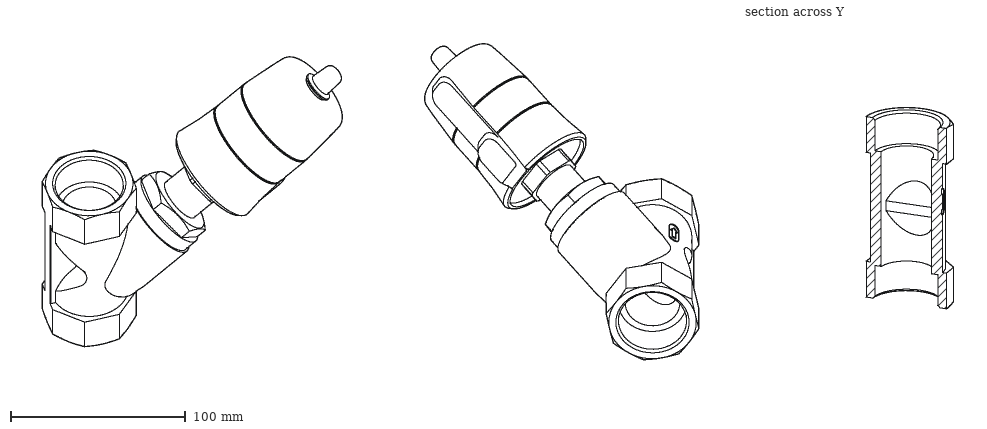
import cadquery as cq
import math


BODY_LENGTH = 110.0
END_FLATS = 50.0
HALF_OCTAGON_STEP = 360 / 16
END_LENGTH = 22.0
PIPE_DIA = 45.0
BORE_DIA = 31.2
THREAD_DIA = 38.95
THREAD_DEPTH = 20.0
THREAD_MOUTH_DIA = 41.9
END_CHAMFER_ANGLE = 30.0

RIB_WIDTH = 11.2
RIB_EDGE_CHAMFER = 0.4
NOTCH_TIP_Y = -7.9
NOTCH_TOP_TANGENT = (-10.8, 6.4)
NOTCH_TOP_MOUTH = (-22.0, 17.4)
NOTCH_BOTTOM_TANGENT = (-11.8, -8.4)
NOTCH_BOTTOM_MIDDLE = (-17.4, -14.4)
NOTCH_BOTTOM_MOUTH = (-22.0, -24.0)
NOTCH_WALL = 3.0

MARK_LENGTH = 15.8
MARK_WIDTH = 6.5
MARK_Z = 9.8
MARK_DEPTH = 0.5
ARROW_LENGTH = 9.8
ARROW_SHAFT_WIDTH = 2.6
ARROW_HEAD_WIDTH = 4.4
ARROW_HEAD_LENGTH = 3.2

TILT = 40.0
AXIS_Z = -21.6

HALF_HEXAGON_STEP = 360 / 12
NUT_CHAMFER_ANGLE = 30.0

BONNET_DIA = 50.5
BONNET_END_DIA = 49.3
BONNET_ROUND = 9.0
BONNET_ROUND_H = 13.9
BONNET_TAPER_H = 20.7
BONNET_TOP_H = 54.4
LIP_DIA = 48.0
LIP_TOP_H = 62.5
BONNET_NUT_FLATS = 41.0
BONNET_NUT_FACE_DIA = 40.4
BONNET_NUT_TOP_H = 70.7

STEM_DIA = 26.0
STEM_NUT_FLATS = 30.0
STEM_NUT_CORNER_DIA = 33.2
STEM_NUT_BOTTOM_H = 88.3

SKIRT_BOTTOM_H = 94.6
SKIRT_EDGE_H = 96.6
SKIRT_DIA = 61.41
SKIRT_BOTTOM_DIA = 58.2
SKIRT_MIDDLE_DIA = 57.8
RECESS_DIA = 54.6
RECESS_DEPTH = 3.0
BAND_DIA = 56.2
BAND_BOTTOM_H = 123.6
BAND_TOP_H = 144.8
GROOVE_WIDTH = 0.8
GROOVE_DEPTH = 0.4
CAP_EDGE_DIA = 50.7
CAP_MIDDLE_DIA = 53.9
CAP_FLAT_DIA = 40.8
CAP_EDGE_H = 172.3
CAP_TOP_H = 176.6

COLLAR_DIA = 18.2
COLLAR_NECK_DIA = 16.0
COLLAR_NECK_H = 178.0
COLLAR_TOP_H = 179.0
TIP_BASE_DIA = 13.2
TIP_BASE_H = 180.2
TIP_SHOULDER_DIA = 12.0
TIP_FLAT_DIA = 6.0
TIP_SHOULDER_H = 190.0
TIP_TOP_H = 193.05

PAD_WIDTH = 16.0
PAD_INNER_REACH = 22.0
PAD_END_ANGLE = 40.0
PAD_END_ROUND = 5.6
PAD_BEVEL_ROUND = 1.5
LONG_PAD_REACH = 29.2
LONG_PAD_TOP_H = 169.0
SHORT_PAD_REACH = 34.2
SHORT_PAD_TOP_H = 124.0

ARC_MIDDLE = math.sqrt(0.5)

CLEARANCE = 1.0


def cylinder(dia, bottom, top):
    return cq.Workplane("XY").workplane(offset=bottom).circle(dia / 2).extrude(top - bottom)


def hexagon(flats, bottom, top):
    corner_dia = flats / math.cos(math.radians(HALF_HEXAGON_STEP))
    return cq.Workplane("XY").workplane(offset=bottom).polygon(6, corner_dia).extrude(top - bottom)


def revolved(profile):
    return profile.close().revolve(360, (0, 0), (0, 1))


def chamfer_tool(face_dia, corner_dia, bottom, top, angle, both_ends=False):
    """Turned solid; intersecting a prism with it bevels the prism's corners at its end faces."""
    outer = corner_dia / 2 + CLEARANCE
    drop = (outer - face_dia / 2) * math.tan(math.radians(angle))
    profile = cq.Workplane("XZ").moveTo(0, bottom)
    if both_ends:
        profile = profile.lineTo(face_dia / 2, bottom).lineTo(outer, bottom + drop)
    else:
        profile = profile.lineTo(outer, bottom)
    return revolved(profile.lineTo(outer, top - drop).lineTo(face_dia / 2, top).lineTo(0, top))


def body_outside():
    half = BODY_LENGTH / 2
    corner_dia = END_FLATS / math.cos(math.radians(HALF_OCTAGON_STEP))
    ends = (
        cq.Workplane("XY").workplane(offset=-half)
        .polygon(8, corner_dia).extrude(BODY_LENGTH)
        .rotate((0, 0, 0), (0, 0, 1), HALF_OCTAGON_STEP)
        .intersect(chamfer_tool(END_FLATS, corner_dia, -half, half, END_CHAMFER_ANGLE, both_ends=True))
        .cut(cylinder(corner_dia, END_LENGTH - half, half - END_LENGTH))
    )
    return ends.union(cylinder(PIPE_DIA, -half + END_LENGTH / 2, half - END_LENGTH / 2))


def notch_prism():
    """V-shaped wedge with a rounded tip, running along X across the front of the body."""
    outside_y = -END_FLATS
    return (
        cq.Workplane("YZ")
        .moveTo(outside_y, NOTCH_TOP_MOUTH[1])
        .lineTo(*NOTCH_TOP_MOUTH)
        .lineTo(*NOTCH_TOP_TANGENT)
        .threePointArc((NOTCH_TIP_Y, 0), NOTCH_BOTTOM_TANGENT)
        .threePointArc(NOTCH_BOTTOM_MIDDLE, NOTCH_BOTTOM_MOUTH)
        .lineTo(outside_y, NOTCH_BOTTOM_MOUTH[1])
        .close()
        .extrude(PIPE_DIA, both=True)
    )


def rib():
    depth = END_FLATS / 2 + NOTCH_TIP_Y
    return (
        cq.Workplane("XY")
        .box(RIB_WIDTH, depth, BODY_LENGTH - 2 * END_LENGTH)
        .translate((0, NOTCH_TIP_Y - depth / 2, 0))
        .faces("<Y").edges("|Z").chamfer(RIB_EDGE_CHAMFER)
    )


def wall_prism():
    """Solid left standing in the flow passage behind the notch, with a flat inner face."""
    inner_y = NOTCH_TIP_Y + NOTCH_WALL

    def slope_start(tangent, mouth):
        """Height where a wall slope, parallel to the line along the notch side, meets the inner face."""
        slope = (mouth[1] - tangent[1]) / (mouth[0] - tangent[0])
        return tangent[1] + slope * (inner_y - NOTCH_WALL - tangent[0])

    return (
        cq.Workplane("YZ")
        .polyline([
            (NOTCH_TOP_MOUTH[0] + NOTCH_WALL, NOTCH_TOP_MOUTH[1]),
            (inner_y, slope_start(NOTCH_TOP_TANGENT, NOTCH_TOP_MOUTH)),
            (inner_y, slope_start(NOTCH_BOTTOM_TANGENT, NOTCH_BOTTOM_MOUTH)),
            (NOTCH_BOTTOM_MOUTH[0] + NOTCH_WALL, NOTCH_BOTTOM_MOUTH[1]),
        ])
        .close()
        .extrude(PIPE_DIA, both=True)
    )


def bore():
    """Flow passage, narrowed at mid-height by the wall that backs the notch."""
    half = BODY_LENGTH / 2
    mouth_drop = (THREAD_MOUTH_DIA - THREAD_DIA) / 2
    passage = cylinder(BORE_DIA, -half, half).cut(wall_prism())
    thread = revolved(
        cq.Workplane("XZ")
        .moveTo(0, half)
        .lineTo(THREAD_MOUTH_DIA / 2, half)
        .lineTo(THREAD_DIA / 2, half - mouth_drop)
        .lineTo(THREAD_DIA / 2, half - THREAD_DEPTH)
        .lineTo(0, half - THREAD_DEPTH)
    )
    return passage.union(thread).union(thread.mirror("XY"))


def flow_mark():
    """Slot-shaped recess holding an arrow that points up the pipe."""
    side = cq.Workplane("YZ").workplane(offset=-PIPE_DIA / 2 - CLEARANCE).center(0, MARK_Z)
    depth = MARK_DEPTH + CLEARANCE
    slot = side.slot2D(MARK_LENGTH, MARK_WIDTH, 90).extrude(2 * depth)
    tip_z = ARROW_LENGTH / 2
    neck_z = tip_z - ARROW_HEAD_LENGTH
    shaft = ARROW_SHAFT_WIDTH / 2
    head = ARROW_HEAD_WIDTH / 2
    arrow = side.polyline([
        (-shaft, -tip_z), (shaft, -tip_z), (shaft, neck_z), (head, neck_z),
        (0, tip_z), (-head, neck_z), (-shaft, neck_z),
    ]).close().extrude(2 * depth)
    return slot.cut(arrow).cut(cylinder(PIPE_DIA - 2 * MARK_DEPTH, -BODY_LENGTH / 2, BODY_LENGTH / 2))


def bonnet():
    round_centre = BONNET_END_DIA / 2 - BONNET_ROUND
    diagonal = BONNET_ROUND * ARC_MIDDLE
    shell = revolved(
        cq.Workplane("XZ")
        .moveTo(0, BONNET_ROUND_H - BONNET_ROUND)
        .lineTo(round_centre, BONNET_ROUND_H - BONNET_ROUND)
        .threePointArc(
            (round_centre + diagonal, BONNET_ROUND_H - diagonal),
            (BONNET_END_DIA / 2, BONNET_ROUND_H),
        )
        .lineTo(BONNET_DIA / 2, BONNET_TAPER_H)
        .lineTo(BONNET_DIA / 2, BONNET_TOP_H)
        .lineTo(LIP_DIA / 2, BONNET_TOP_H)
        .lineTo(LIP_DIA / 2, LIP_TOP_H)
        .lineTo(0, LIP_TOP_H)
    )
    corner_dia = BONNET_NUT_FLATS / math.cos(math.radians(HALF_HEXAGON_STEP))
    nut = hexagon(BONNET_NUT_FLATS, LIP_TOP_H, BONNET_NUT_TOP_H).intersect(
        chamfer_tool(BONNET_NUT_FACE_DIA, corner_dia, LIP_TOP_H, BONNET_NUT_TOP_H, NUT_CHAMFER_ANGLE)
    )
    return shell.union(nut)


def stem():
    top = SKIRT_BOTTOM_H + RECESS_DEPTH
    nut = hexagon(STEM_NUT_FLATS, STEM_NUT_BOTTOM_H, top).intersect(
        cylinder(STEM_NUT_CORNER_DIA, STEM_NUT_BOTTOM_H, top)
    )
    return cylinder(STEM_DIA, LIP_TOP_H, top).union(nut)


def groove(height):
    ring = cylinder(BAND_DIA + 2 * CLEARANCE, height - GROOVE_WIDTH / 2, height + GROOVE_WIDTH / 2)
    return ring.cut(cylinder(BAND_DIA - 2 * GROOVE_DEPTH, height - GROOVE_WIDTH, height + GROOVE_WIDTH))


def housing():
    """Bell-shaped skirt, straight band and domed cap in one turned solid."""
    cap_round_r = (CAP_EDGE_DIA - CAP_FLAT_DIA) / 2
    cap_round_h = CAP_TOP_H - CAP_EDGE_H
    turned = revolved(
        cq.Workplane("XZ")
        .moveTo(0, SKIRT_BOTTOM_H)
        .lineTo(SKIRT_BOTTOM_DIA / 2, SKIRT_BOTTOM_H)
        .lineTo(SKIRT_DIA / 2, SKIRT_EDGE_H)
        .threePointArc(
            (SKIRT_MIDDLE_DIA / 2, (SKIRT_EDGE_H + BAND_BOTTOM_H) / 2),
            (BAND_DIA / 2, BAND_BOTTOM_H),
        )
        .lineTo(BAND_DIA / 2, BAND_TOP_H)
        .threePointArc(
            (CAP_MIDDLE_DIA / 2, (BAND_TOP_H + CAP_EDGE_H) / 2),
            (CAP_EDGE_DIA / 2, CAP_EDGE_H),
        )
        .threePointArc(
            (CAP_FLAT_DIA / 2 + cap_round_r * ARC_MIDDLE, CAP_EDGE_H + cap_round_h * ARC_MIDDLE),
            (CAP_FLAT_DIA / 2, CAP_TOP_H),
        )
        .lineTo(0, CAP_TOP_H)
    )
    return turned.cut(groove(BAND_BOTTOM_H)).cut(groove(BAND_TOP_H))


def pad(reach, top):
    """Flat-sided pad on the underside; its upper end slopes up to the housing with round corners."""
    rise = (reach - PAD_INNER_REACH) * math.tan(math.radians(PAD_END_ANGLE))
    end_direction = cq.Vector(0, PAD_INNER_REACH - reach, rise)
    return (
        cq.Workplane("YZ")
        .moveTo(PAD_INNER_REACH, SKIRT_BOTTOM_H)
        .lineTo(reach, SKIRT_BOTTOM_H)
        .lineTo(reach, top)
        .lineTo(PAD_INNER_REACH, top + rise)
        .close()
        .extrude(PAD_WIDTH / 2, both=True)
        .edges(cq.selectors.ParallelDirSelector(end_direction))
        .fillet(PAD_END_ROUND)
    )


def indicator():
    tip_round = (TIP_SHOULDER_DIA - TIP_FLAT_DIA) / 2
    tip_drop = TIP_TOP_H - TIP_SHOULDER_H
    return revolved(
        cq.Workplane("XZ")
        .moveTo(0, CAP_TOP_H)
        .lineTo(COLLAR_NECK_DIA / 2, CAP_TOP_H)
        .lineTo(COLLAR_NECK_DIA / 2, COLLAR_NECK_H)
        .lineTo(COLLAR_DIA / 2, COLLAR_NECK_H)
        .lineTo(COLLAR_DIA / 2, COLLAR_TOP_H)
        .lineTo(TIP_BASE_DIA / 2, TIP_BASE_H)
        .lineTo(TIP_SHOULDER_DIA / 2, TIP_SHOULDER_H)
        .threePointArc(
            (TIP_FLAT_DIA / 2 + tip_round * ARC_MIDDLE, TIP_SHOULDER_H + tip_drop * ARC_MIDDLE),
            (TIP_FLAT_DIA / 2, TIP_TOP_H),
        )
        .lineTo(0, TIP_TOP_H)
    )


def actuator():
    short_pad = pad(SHORT_PAD_REACH, SHORT_PAD_TOP_H)
    short_pad = short_pad.faces("<Z").edges(">Y").chamfer(SHORT_PAD_REACH - LONG_PAD_REACH)
    bevel_edges = cq.selectors.ParallelDirSelector(cq.Vector(0, 1, 1))
    short_pad = short_pad.edges(bevel_edges).fillet(PAD_BEVEL_ROUND)
    recess = cylinder(RECESS_DIA, SKIRT_BOTTOM_H, SKIRT_BOTTOM_H + RECESS_DEPTH)
    return (
        housing()
        .union(pad(LONG_PAD_REACH, LONG_PAD_TOP_H))
        .union(short_pad)
        .cut(recess)
        .union(indicator())
        .union(stem())
        .union(bonnet())
    )


def tilted(upright):
    angle = math.radians(TILT)
    axis = (0, math.cos(angle), math.sin(angle))
    frame = cq.Plane(origin=(0, 0, AXIS_Z), xDir=(1, 0, 0), normal=axis)
    return cq.Workplane(upright.val().moved(cq.Location(frame)))


casting = body_outside().union(tilted(actuator()))
result = casting.cut(notch_prism()).union(rib()).cut(flow_mark()).cut(bore())